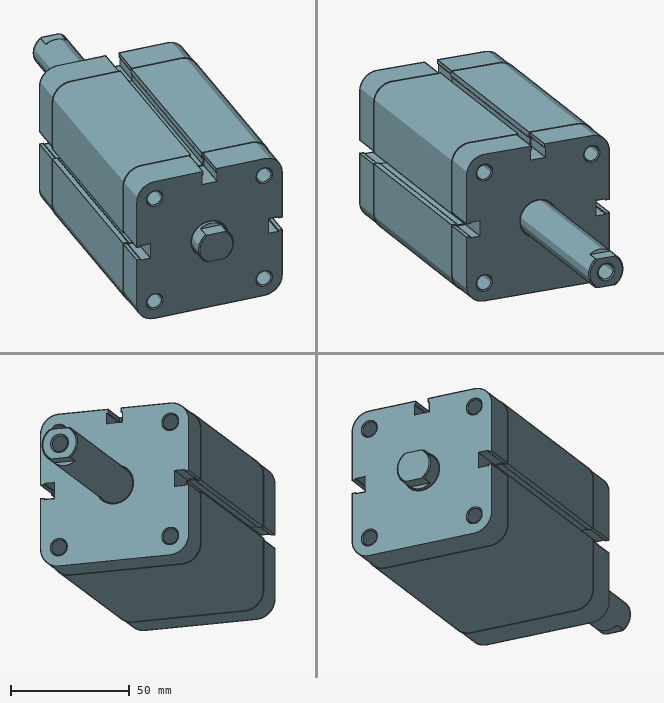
import cadquery as cq
import math


barrel_side = 67.0
barrel_corner_radius = 8.5
barrel_length = 77.0
cap_length = 14.5
cap_inset = 0.25
bore_chamfer = 0.5

hole_diameter = 6.6
hole_spacing = barrel_side - 2 * barrel_corner_radius
hole_chamfer = 0.5

barrel_mouth_width = 5.0
barrel_chamber_width = 6.0
barrel_lip_depth = 2.5
barrel_slot_depth = 6.0
slot_clearance = 0.5
slot_angles = (0, 90, -90)

rod_diameter = 16.0
rod_length = 181.0
front_extension = 67.5
front_flat_length = 6.0
rear_flat_length = 6.0
flats_width = 13.0
shoulder_slope = 15.0
rod_chamfer = 0.5

tap_diameter = 6.8
tap_mouth_diameter = 8.0
tap_depth = 20.0
drill_point_angle = 118.0

rod_start = -front_extension
barrel_start = cap_length
housing_length = barrel_start + barrel_length + cap_length


def square_block(length, side, corner_radius):
    """Rounded square block from X = 0, with a rod bore and four corner holes."""
    block = cq.Workplane("YZ").rect(side, side).extrude(length).edges("|X").fillet(corner_radius)
    bore = cq.Workplane("YZ").circle(rod_diameter / 2).extrude(length)
    holes = (
        cq.Workplane("YZ")
        .rect(hole_spacing, hole_spacing, forConstruction=True)
        .vertices()
        .circle(hole_diameter / 2)
        .extrude(length)
    )
    return block.cut(bore).cut(holes)


def slot_cutter(length, clearance):
    """Stepped slot in the +Z side, enlarged all round by a clearance."""
    mouth_half = barrel_mouth_width / 2 + clearance
    chamber_half = barrel_chamber_width / 2 + clearance
    top = barrel_side / 2
    lip = top - barrel_lip_depth + clearance
    floor = top - barrel_slot_depth - clearance
    return (
        cq.Workplane("YZ")
        .moveTo(0, top)
        .lineTo(mouth_half, top)
        .lineTo(mouth_half, lip)
        .lineTo(chamber_half, lip)
        .lineTo(chamber_half, floor)
        .lineTo(0, floor)
        .mirrorY()
        .extrude(length)
    )


def cut_slots(block, slot):
    """Cut the slot into each of the three slotted sides."""
    for angle in slot_angles:
        block = block.cut(slot.rotate((0, 0, 0), (1, 0, 0), angle))
    return block


def make_cap():
    """End cap with its outer face at X = 0, where the bore and the holes are chamfered."""
    cap = square_block(cap_length, barrel_side - 2 * cap_inset, barrel_corner_radius - cap_inset)
    hole_rims = cap.faces("<X").edges("%CIRCLE").edges(cq.selectors.RadiusNthSelector(0))
    cap = hole_rims.chamfer(hole_chamfer)
    bore_mouth = (
        cq.Workplane("YZ")
        .circle(rod_diameter / 2 + bore_chamfer)
        .workplane(offset=bore_chamfer)
        .circle(rod_diameter / 2)
        .loft()
    )
    cap = cap.cut(bore_mouth)
    return cut_slots(cap, slot_cutter(cap_length, slot_clearance))


def make_barrel():
    """Barrel with sensor slots along its full length."""
    barrel = square_block(barrel_length, barrel_side, barrel_corner_radius)
    return cut_slots(barrel, slot_cutter(barrel_length, 0)).translate((barrel_start, 0, 0))


def flat_cutter(length):
    """Material above a flat that runs from X = 0 to a leaning shoulder."""
    bottom = flats_width / 2
    top = rod_diameter / 2
    lean = (top - bottom) * math.tan(math.radians(shoulder_slope))
    return (
        cq.Workplane("XZ")
        .moveTo(0, bottom)
        .lineTo(length, bottom)
        .lineTo(length + lean, top)
        .lineTo(0, top)
        .close()
        .extrude(rod_diameter / 2, both=True)
    )


def tapped_hole():
    """Blind hole from X = 0 with a countersunk mouth and a conical drill point."""
    radius = tap_diameter / 2
    mouth_radius = tap_mouth_diameter / 2
    point_length = radius / math.tan(math.radians(drill_point_angle / 2))
    return (
        cq.Workplane("XY")
        .lineTo(0, mouth_radius)
        .lineTo(mouth_radius - radius, radius)
        .lineTo(tap_depth, radius)
        .lineTo(tap_depth + point_length, 0)
        .close()
        .revolve(360, (0, 0, 0), (1, 0, 0))
    )


def make_rod():
    """Through rod with chamfered ends and a pair of flats at each end."""
    rod = cq.Workplane("YZ").circle(rod_diameter / 2).extrude(rod_length)
    rod = rod.faces("<X or >X").chamfer(rod_chamfer)
    rod = rod.cut(tapped_hole())
    front_flat = flat_cutter(front_flat_length)
    rear_flat = flat_cutter(rear_flat_length).mirror("YZ").translate((rod_length, 0, 0))
    for flat in (front_flat, rear_flat):
        rod = rod.cut(flat).cut(flat.mirror("XY"))
    return rod.translate((rod_start, 0, 0))


front_cap = make_cap()
barrel = make_barrel()
rear_cap = make_cap().mirror("YZ").translate((housing_length, 0, 0))
rod = make_rod()

result = cq.Compound.makeCompound([front_cap.val(), barrel.val(), rear_cap.val(), rod.val()])